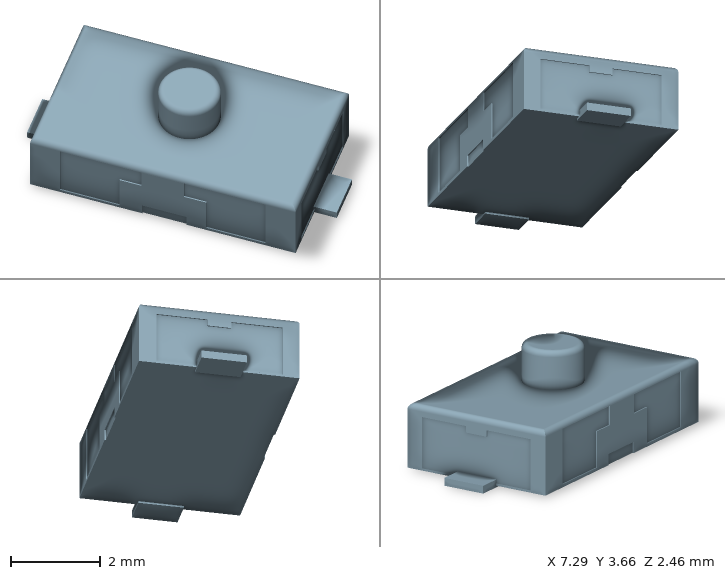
import cadquery as cq

overall_length = 7.29
overall_height = 2.46

housing_length = 6.255
housing_width = 3.66
housing_bottom = 0.045
housing_top = 1.55
edge_radius = 0.13

button_diameter = 1.4

terminal_width = 1.035
terminal_thickness = 0.18
terminal_length = 0.67

side_recess_depth = 0.03
window_outer_x = 2.42
window_inner_x = 1.02
window_neck_x = 0.495
window_bottom = 0.12
window_step = 0.97
window_top = housing_top - edge_radius

notch_width = 1.035
notch_offset = 0.04
notch_top = 0.305

end_recess_depth = 0.03
end_window_width = 2.87
end_window_bottom = 0.09
end_window_top = 1.3
end_tab_width = 0.55
end_tab_height = 0.15


def make_housing():
    """Block with a rounded top rim."""
    block = cq.Workplane("XY").workplane(offset=housing_bottom).rect(housing_length, housing_width)
    return block.extrude(housing_top - housing_bottom).faces(">Z").edges().fillet(edge_radius)


def make_button():
    """Round plunger, rooted at the housing floor."""
    plunger = cq.Workplane("XY").workplane(offset=housing_bottom).circle(button_diameter / 2)
    return plunger.extrude(overall_height - housing_bottom).faces(">Z").edges().fillet(edge_radius)


def make_terminal():
    """Flat terminal on the -X end, reaching a little way under the housing."""
    strip = cq.Workplane("XY").box(
        terminal_length, terminal_width, terminal_thickness, centered=(False, True, False)
    )
    return strip.translate((-overall_length / 2, 0, 0))


def make_side_recess():
    """Cutter for the -Y side: two mirrored stepped windows and the bottom notch."""
    side_plane = cq.Workplane("XZ", origin=(0, -housing_width / 2, 0))
    window = (
        side_plane.moveTo(window_outer_x, window_bottom)
        .lineTo(window_outer_x, window_top)
        .lineTo(window_neck_x, window_top)
        .lineTo(window_neck_x, window_step)
        .lineTo(window_inner_x, window_step)
        .lineTo(window_inner_x, window_bottom)
        .close()
        .extrude(-side_recess_depth)
    )
    notch_height = notch_top - housing_bottom
    notch = (
        side_plane.center(notch_offset, housing_bottom + notch_height / 2)
        .rect(notch_width, notch_height)
        .extrude(-side_recess_depth)
    )
    return window.union(window.mirror("YZ")).union(notch)


def make_end_recess():
    """Cutter for the -X end: a window with a tab hanging from its top edge."""
    end_plane = cq.Workplane("YZ", origin=(-housing_length / 2, 0, 0))
    window_height = end_window_top - end_window_bottom
    window = (
        end_plane.center(0, end_window_bottom + window_height / 2)
        .rect(end_window_width, window_height)
        .extrude(end_recess_depth)
    )
    tab = (
        end_plane.center(0, end_window_top - end_tab_height / 2)
        .rect(end_tab_width, end_tab_height)
        .extrude(end_recess_depth)
    )
    return window.cut(tab)


def both_sides(shape, plane):
    """Return the shape together with its mirror image."""
    return shape.union(shape.mirror(plane))


result = (
    make_housing()
    .cut(both_sides(make_side_recess(), "XZ"))
    .cut(both_sides(make_end_recess(), "YZ"))
    .union(both_sides(make_terminal(), "YZ"))
    .union(make_button())
)